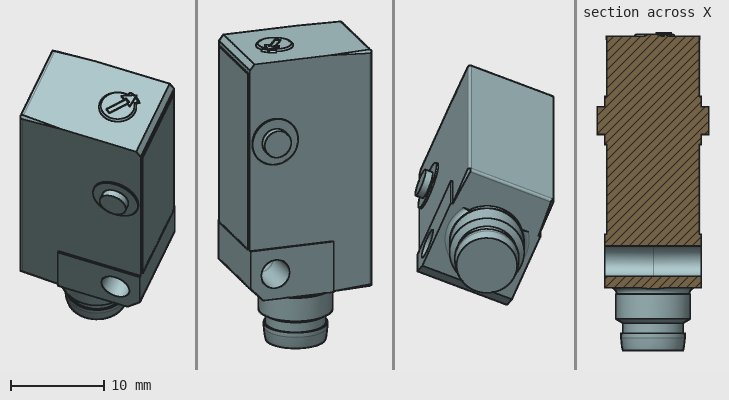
import cadquery as cq
import math

total_height = 34.1
total_length = 14.05
pin_span = 12.0

window_step = 0.1
body_length = total_length - window_step
body_width = 10.0
body_bottom = 6.75
body_top = 33.75
back_edge_radius = 0.3
top_bevel_length = 0.5
top_bevel_height = 0.65
corner_cut = 1.43

fading_bevel_size = 0.35
fading_bevel_length = 4.95

window_bottom = 12.5
window_top = 32.6
window_width = 9.2

plate_step = 0.2
plate_start = 4.5
plate_top = window_bottom
hole_diameter = 3.2
cross_axis_x = 11.1
hole_z = 9.6

pad_diameter = 5.2
pin_diameter = 3.0
pin_z = 24.7

connector_x = 7.0
tip_diameter = 6.48
collar_diameter = 6.9
groove_diameter = 6.5
barrel_diameter = 8.0
neck_diameter = 7.88
collar_bottom = 1.4
collar_top = 1.88
groove_top = 2.95
barrel_bottom = 3.4
barrel_top = 6.1
neck_fillet = 0.58

dial_x = 9.38
dial_diameter = 4.02
dial_height = 0.2
dial_bevel = 0.2
pointer_radius = 2.42
pointer_angle = 54.4
tab_angle = 41.4
head_back = 1.02
head_half_width = 0.82
slot_end = 1.25
slot_width = 0.6
slot_depth = 0.1


def side_outline(start_x, bottom, top):
    """XZ face outline with the lower front corner cut off, ready to extrude along Y."""
    return (
        cq.Workplane("XZ")
        .moveTo(start_x, bottom)
        .lineTo(body_length - corner_cut, bottom)
        .lineTo(body_length, bottom + corner_cut)
        .lineTo(body_length, top)
        .lineTo(start_x, top)
        .close()
    )


def fading_bevel(side, edge_z, inward):
    """Tetrahedron that shaves one long edge, deepest at the back face."""
    edge_y = side * body_width / 2
    corner = cq.Vector(0, edge_y, edge_z)
    across = cq.Vector(0, edge_y - side * fading_bevel_size, edge_z)
    along_z = cq.Vector(0, edge_y, edge_z + inward * fading_bevel_size)
    far_end = cq.Vector(fading_bevel_length, edge_y, edge_z)
    triangles = [
        (corner, across, along_z),
        (corner, across, far_end),
        (corner, along_z, far_end),
        (across, along_z, far_end),
    ]
    faces = [cq.Face.makeFromWires(cq.Wire.makePolygon(points, close=True)) for points in triangles]
    return cq.Workplane(obj=cq.Solid.makeSolid(cq.Shell.makeShell(faces)))


def make_housing():
    body = side_outline(0, body_bottom, body_top).extrude(body_width / 2, both=True)
    body = body.faces("<X").edges().fillet(back_edge_radius)
    top_bevel = (
        cq.Workplane("XZ")
        .moveTo(body_length, body_top)
        .lineTo(body_length - top_bevel_length, body_top)
        .lineTo(body_length, body_top - top_bevel_height)
        .close()
        .extrude(body_width, both=True)
    )
    body = body.cut(top_bevel)
    for side in (-1, 1):
        body = body.cut(fading_bevel(side, body_top, -1))
        body = body.cut(fading_bevel(side, body_bottom, 1))
    window = cq.Workplane().box(
        total_length - plate_start, window_width, window_top - window_bottom, centered=(False, True, False)
    )
    return body.union(window.translate((plate_start, 0, window_bottom)))


def cross_cylinder(diameter, length, z):
    """Cylinder along Y, centred on the mid-plane."""
    return (
        cq.Workplane("XZ")
        .center(cross_axis_x, z)
        .circle(diameter / 2)
        .extrude(length / 2, both=True)
    )


def make_side_features():
    raised_width = body_width + 2 * plate_step
    plates = side_outline(plate_start, body_bottom, plate_top).extrude(raised_width / 2, both=True)
    pads = cross_cylinder(pad_diameter, raised_width, pin_z)
    pins = cross_cylinder(pin_diameter, pin_span, pin_z)
    return plates.union(pads).union(pins)


def make_connector():
    barrel_bevel = (barrel_diameter - neck_diameter) / 2
    shape = (
        cq.Workplane("XZ")
        .moveTo(0, body_bottom)
        .lineTo(neck_diameter / 2, body_bottom)
        .lineTo(neck_diameter / 2, barrel_top)
        .lineTo(barrel_diameter / 2, barrel_top - barrel_bevel)
        .lineTo(barrel_diameter / 2, barrel_bottom)
        .lineTo(groove_diameter / 2, groove_top)
        .lineTo(groove_diameter / 2, collar_top)
        .lineTo(collar_diameter / 2, collar_top)
        .lineTo(collar_diameter / 2, collar_bottom)
        .tangentArcPoint((tip_diameter / 2, 0), relative=False)
        .lineTo(0, 0)
        .close()
        .revolve(360, (0, 0, 0), (0, 1, 0))
    )
    return shape.translate((connector_x, 0, 0))


def make_neck_fillet():
    """Concave fillet under the housing, only as far back as the side plates reach."""
    inner = neck_diameter / 2
    bend = neck_fillet * (1 - math.sqrt(0.5))
    ring = (
        cq.Workplane("XZ")
        .moveTo(0, body_bottom)
        .lineTo(inner + neck_fillet, body_bottom)
        .threePointArc((inner + bend, body_bottom - bend), (inner, body_bottom - neck_fillet))
        .lineTo(0, body_bottom - neck_fillet)
        .close()
        .revolve(360, (0, 0, 0), (0, 1, 0))
        .translate((connector_x, 0, 0))
    )
    keep = cq.Workplane().box(
        body_length, body_width, 2 * neck_fillet, centered=(False, True, True)
    )
    return ring.intersect(keep.translate((plate_start, 0, body_bottom)))


def bevelled_disc(base_radius, sweep):
    """Disc or sector with a sloping rim, starting from +X."""
    return (
        cq.Workplane("XZ")
        .lineTo(base_radius, 0)
        .lineTo(base_radius - dial_bevel, dial_height)
        .lineTo(0, dial_height)
        .close()
        .revolve(sweep, (0, 0, 0), (0, 1, 0))
    )


def make_dial():
    """Dial with a rim tab, raised arrow head and sunk arrow shaft, turned to the pointer angle."""
    axis_start = (0, 0, 0)
    axis_end = (0, 0, 1)
    disc = bevelled_disc(dial_diameter / 2, 360)
    tab = bevelled_disc(pointer_radius, tab_angle).rotate(axis_start, axis_end, -tab_angle / 2)
    head = (
        cq.Workplane()
        .moveTo(pointer_radius, 0)
        .lineTo(head_back, head_half_width)
        .lineTo(head_back, -head_half_width)
        .close()
        .extrude(total_height - body_top)
    )
    shaft = (
        cq.Workplane(origin=(0, 0, dial_height - slot_depth))
        .rect(2 * slot_end, slot_width)
        .extrude(total_height - body_top)
    )
    dial = disc.union(tab).union(head).cut(shaft)
    return dial.rotate(axis_start, axis_end, pointer_angle).translate((dial_x, 0, body_top))


result = (
    make_housing()
    .union(make_side_features())
    .union(make_connector())
    .union(make_neck_fillet())
    .cut(cross_cylinder(hole_diameter, pin_span, hole_z))
    .union(make_dial())
)